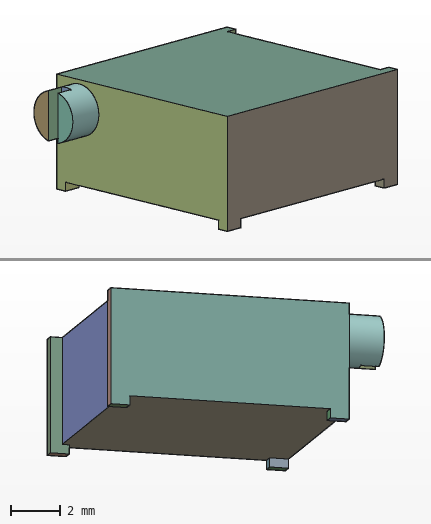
import cadquery as cq

body_side = 9.53
total_height = 4.83
foot_height = 0.38

rib_width = 0.5
rib_depth = 0.5

foot_width = rib_width
foot_length = 0.8

screw_diameter = 2.18
screw_length = 1.53
screw_inset = 1.27
slot_width = 0.54
slot_depth = screw_length / 2

half_side = body_side / 2
rear_y = body_side + rib_depth
screw_x = -half_side + screw_inset
screw_z = total_height - screw_inset


def block(x_min, y_min, z_min, x_size, y_size, z_size):
    """Box placed by its lowest corner."""
    box = cq.Workplane("XY").box(x_size, y_size, z_size, centered=False)
    return box.translate((x_min, y_min, z_min))


def make_housing():
    """Raised block with a rib and two feet along each side."""
    housing = block(-half_side, 0, foot_height, body_side, body_side, total_height - foot_height)
    for side_x in (-half_side, half_side - rib_width):
        rib = block(side_x, body_side, 0, rib_width, rib_depth, total_height)
        housing = housing.union(rib)
        for foot_y in (0, rear_y - foot_length):
            foot = block(side_x, foot_y, 0, foot_width, foot_length, foot_height)
            housing = housing.union(foot)
    return housing


def make_screw():
    """Cylinder pointing to -Y with a vertical screwdriver slot across its end."""
    front_face = cq.Workplane("XZ", origin=(screw_x, 0, screw_z))
    screw = front_face.circle(screw_diameter / 2).extrude(screw_length)
    slot = block(
        screw_x - slot_width / 2,
        -screw_length,
        screw_z - screw_diameter / 2,
        slot_width,
        slot_depth,
        screw_diameter,
    )
    return screw.cut(slot)


result = make_housing().union(make_screw())